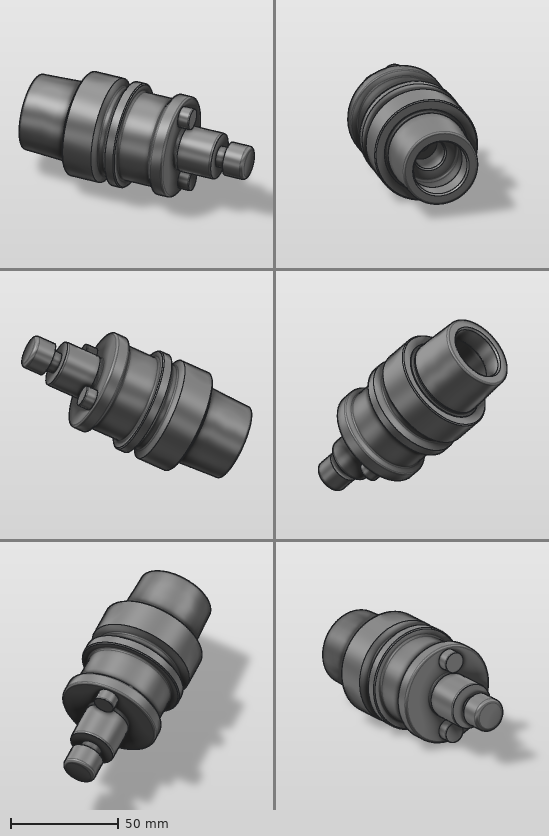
import cadquery as cq
import math

OVERALL_LENGTH = 108.9
TAPER_END_X = 22.7
NECK_START_X = 23.6
FLANGE_FACE_X = 24.6
GROOVE_START_X = 39.4
GROOVE_END_X = 46.4
FLANGE_BACK_X = 51.0
COLLAR_CONE_X = 66.9
COLLAR_FACE_X = 74.9
RELIEF_END_X = 76.1
SPIGOT_START_X = 77.0
SPIGOT_END_X = 94.0
HEAD_START_X = 98.8

TAPER_TIP_R = 18.1
TAPER_BASE_R = 19.2
NECK_R = 18.8
FLANGE_R = 24.99
GROOVE_R = 21.5
BODY_R = 21.1
COLLAR_R = 24.1
RELIEF_R = 10.6
SPIGOT_R = 11.0

FLANK_ANGLE = 60
FLANK_RUN_PER_RISE = 1 / math.tan(math.radians(FLANK_ANGLE))
GROOVE_FLANK_RUN = (FLANGE_R - GROOVE_R) * FLANK_RUN_PER_RISE
GROOVE_ROOT_START_X = GROOVE_START_X + GROOVE_FLANK_RUN
GROOVE_ROOT_END_X = GROOVE_END_X - GROOVE_FLANK_RUN
COLLAR_RIM_X = COLLAR_CONE_X + (COLLAR_R - BODY_R) * FLANK_RUN_PER_RISE

TAPER_TIP_FILLET = 0.9
FLANGE_CHAMFER = 0.5
FLANK_FILLET = 0.9
BODY_FILLET = 1.0
COLLAR_FACE_FILLET = 1.0
RELIEF_ROOT_FILLET = 0.4
RELIEF_END_FILLET = 0.7
SPIGOT_CHAMFER = 1.0
SPIGOT_CHAMFER_RISE = 0.2

UNDERCUT_OUTER_R = 20.3
UNDERCUT_DEPTH = 0.4
UNDERCUT_FLOOR_X = FLANGE_FACE_X + UNDERCUT_DEPTH
UNDERCUT_ROOT_FILLET = 0.7

MOUTH_R = 13.7
MOUTH_CHAMFER_DEPTH = 1.1
BORE_R = 13.0
BORE_END_X = 9.6
INNER_BORE_R = 13.6
INNER_BORE_END_X = 19.2
INNER_BORE_FILLET = 1.2
POCKET_R = 7.4
POCKET_CHAMFER = 0.8
POCKET_END_X = 32.7

SHANK_R = 5.0
SCREW_HEAD_R = 8.0
SCREW_HEAD_FILLET = 1.6
SCREW_NECK_FILLET = 0.3
SCREW_TIP_R = 3.5

PIN_R = 5.0
PIN_OFFSET = 17.5
PIN_LENGTH = 5.5
PIN_CHAMFER_LENGTH = 0.7
PIN_CHAMFER_RISE = 0.1


def revolve_profile(points):
    """Solid of revolution about X of a closed (x, radius) outline."""
    return cq.Workplane("XZ").polyline(points).close().revolve(360, (0, 0, 0), (1, 0, 0))


def circle_edge(body, x, radius):
    """The circular edge of given radius lying at station x."""
    return body.edges("%CIRCLE").filter(
        lambda edge: abs(edge.Center().x - x) < 0.001 and abs(edge.radius() - radius) < 0.001
    )


def make_holder_blank():
    """Solid holder: taper, grooved flange, body, collar and spigot."""
    holder = revolve_profile([
        (0, 0),
        (0, TAPER_TIP_R),
        (TAPER_END_X, TAPER_BASE_R),
        (NECK_START_X, NECK_R),
        (UNDERCUT_FLOOR_X, NECK_R),
        (UNDERCUT_FLOOR_X, UNDERCUT_OUTER_R),
        (FLANGE_FACE_X, UNDERCUT_OUTER_R),
        (FLANGE_FACE_X, FLANGE_R),
        (GROOVE_START_X, FLANGE_R),
        (GROOVE_ROOT_START_X, GROOVE_R),
        (GROOVE_ROOT_END_X, GROOVE_R),
        (GROOVE_END_X, FLANGE_R),
        (FLANGE_BACK_X, FLANGE_R),
        (FLANGE_BACK_X, BODY_R),
        (COLLAR_CONE_X, BODY_R),
        (COLLAR_RIM_X, COLLAR_R),
        (COLLAR_FACE_X, COLLAR_R),
        (COLLAR_FACE_X, RELIEF_R),
        (RELIEF_END_X, RELIEF_R),
        (SPIGOT_START_X, SPIGOT_R),
        (SPIGOT_END_X - SPIGOT_CHAMFER, SPIGOT_R),
        (SPIGOT_END_X, SPIGOT_R - SPIGOT_CHAMFER_RISE),
        (SPIGOT_END_X, 0),
    ])
    holder = circle_edge(holder, 0, TAPER_TIP_R).fillet(TAPER_TIP_FILLET)
    holder = circle_edge(holder, UNDERCUT_FLOOR_X, NECK_R).fillet(UNDERCUT_ROOT_FILLET)
    for x in (GROOVE_ROOT_START_X, GROOVE_ROOT_END_X):
        holder = circle_edge(holder, x, GROOVE_R).fillet(FLANK_FILLET)
    holder = circle_edge(holder, FLANGE_FACE_X, FLANGE_R).chamfer(FLANGE_CHAMFER)
    holder = circle_edge(holder, FLANGE_BACK_X, FLANGE_R).chamfer(FLANGE_CHAMFER)
    holder = circle_edge(holder, FLANGE_BACK_X, BODY_R).fillet(BODY_FILLET)
    holder = circle_edge(holder, COLLAR_CONE_X, BODY_R).fillet(FLANK_FILLET)
    holder = circle_edge(holder, COLLAR_RIM_X, COLLAR_R).fillet(FLANK_FILLET)
    holder = circle_edge(holder, COLLAR_FACE_X, RELIEF_R).fillet(RELIEF_ROOT_FILLET)
    holder = circle_edge(holder, RELIEF_END_X, RELIEF_R).fillet(RELIEF_END_FILLET)
    return circle_edge(holder, COLLAR_FACE_X, COLLAR_R).fillet(COLLAR_FACE_FILLET)


def make_cavity():
    """Volume removed from the holder through the open end of the taper."""
    cavity = revolve_profile([
        (0, 0),
        (0, MOUTH_R),
        (MOUTH_CHAMFER_DEPTH, BORE_R),
        (BORE_END_X, BORE_R),
        (BORE_END_X, INNER_BORE_R),
        (INNER_BORE_END_X, INNER_BORE_R),
        (INNER_BORE_END_X, POCKET_R + POCKET_CHAMFER),
        (INNER_BORE_END_X + POCKET_CHAMFER, POCKET_R),
        (POCKET_END_X, POCKET_R),
        (POCKET_END_X, 0),
    ])
    return circle_edge(cavity, INNER_BORE_END_X, INNER_BORE_R).fillet(INNER_BORE_FILLET)


def make_screw():
    """Screw whose chamfered tip ends flush with the floor of the holder's pocket."""
    tip_chamfer = SHANK_R - SCREW_TIP_R
    screw = revolve_profile([
        (POCKET_END_X, 0),
        (POCKET_END_X, SCREW_TIP_R),
        (POCKET_END_X + tip_chamfer, SHANK_R),
        (HEAD_START_X, SHANK_R),
        (HEAD_START_X, SCREW_HEAD_R),
        (OVERALL_LENGTH, SCREW_HEAD_R),
        (OVERALL_LENGTH, 0),
    ])
    screw = circle_edge(screw, HEAD_START_X, SHANK_R).fillet(SCREW_NECK_FILLET)
    return circle_edge(screw, OVERALL_LENGTH, SCREW_HEAD_R).fillet(SCREW_HEAD_FILLET)


def make_drive_pin(z):
    """Pin seated on the collar face, offset from the axis by z."""
    return (
        cq.Workplane("YZ", origin=(COLLAR_FACE_X, 0, z))
        .circle(PIN_R)
        .extrude(PIN_LENGTH)
        .faces(">X").edges().chamfer(PIN_CHAMFER_LENGTH, PIN_CHAMFER_RISE)
    )


screw = make_screw()
holder = make_holder_blank().cut(make_cavity()).cut(screw)
drive_pins = [make_drive_pin(side * PIN_OFFSET) for side in (-1, 1)]

result = cq.Compound.makeCompound([holder.val(), screw.val(), *[pin.val() for pin in drive_pins]])